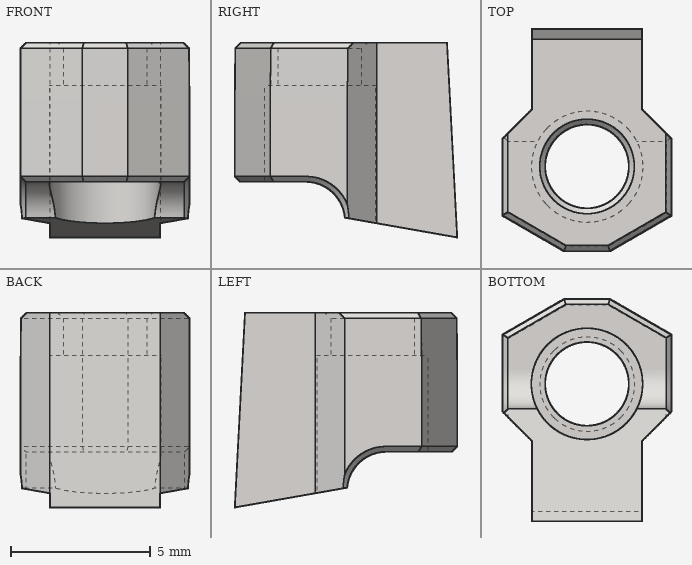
import cadquery as cq
import math

half_width = 3.04
front_distance = 3.06
slant_angle = 30.0
front_height = 5.0
full_height = 7.0
chamfer = 0.2

tab_half_width = 1.98
shoulder_rear = 2.05
shoulder_front = shoulder_rear - (half_width - tab_half_width)
tab_tip = 8.0 - front_distance
back_lean = 3.0
floor_slope = 10.0

draft_depth = 2.0
draft_angle = 0.5

step_radius = 1.4
step_center_y = -0.5
step_center_z = -front_height - step_radius

bore_diameter = 3.0
bore_radius = bore_diameter / 2
counterbore_radius = 2.0
counterbore_roof = -1.52

margin = 4.8


def make_blank():
    """Plan outline cut to the side profile of the leaning back and sloping floor."""
    slant = math.radians(slant_angle)
    corner_x = front_distance * (1 - math.cos(slant)) / math.sin(slant)
    corner_y = -(front_distance - half_width * math.sin(slant)) / math.cos(slant)
    right_edge = [
        (corner_x, -front_distance),
        (half_width, corner_y),
        (half_width, shoulder_front),
        (tab_half_width, shoulder_rear),
        (tab_half_width, tab_tip),
    ]
    left_edge = [(-x, y) for x, y in reversed(right_edge)]
    plan = cq.Workplane("XY").polyline(right_edge + left_edge).close().extrude(-full_height)

    back_top = tab_tip - full_height * math.tan(math.radians(back_lean))
    floor_rise = (tab_tip + front_distance) * math.tan(math.radians(floor_slope))
    side = (
        cq.Workplane("YZ")
        .polyline([
            (-front_distance, 0),
            (back_top, 0),
            (tab_tip, -full_height),
            (-front_distance, floor_rise - full_height),
        ])
        .close()
        .extrude(half_width, both=True)
    )
    return plan.intersect(side)


def step_tool(start_x):
    """Profile of the space under the front block, on a plane at start_x."""
    arc_middle = step_radius * math.sqrt(0.5)
    wall_y = step_center_y + step_radius
    return (
        cq.Workplane("YZ", origin=(start_x, 0, 0))
        .moveTo(-front_distance - margin, -front_height)
        .lineTo(step_center_y, -front_height)
        .threePointArc(
            (step_center_y + arc_middle, step_center_z + arc_middle),
            (wall_y, step_center_z),
        )
        .lineTo(wall_y, -full_height - margin)
        .lineTo(-front_distance - margin, -full_height - margin)
        .close()
    )


def edge_tool(face_angle, distance, draft, lower_chamfer):
    """Material to remove outside one flat face, turned about Z from the front."""
    inset = draft_depth * math.tan(math.radians(draft))
    drafted = distance - inset
    points = [
        (-distance - margin, 0),
        (-drafted + chamfer, 0),
        (-drafted, -chamfer),
        (-distance, -draft_depth),
    ]
    if lower_chamfer:
        points += [
            (-distance, chamfer - front_height),
            (-distance + chamfer, -front_height),
            (-distance - margin, -front_height),
        ]
    else:
        points += [(-distance - margin, -draft_depth)]
    return (
        cq.Workplane("YZ")
        .polyline(points)
        .close()
        .extrude(2 * margin, both=True)
        .rotate((0, 0, 0), (0, 0, 1), face_angle)
    )


body = make_blank()

body = body.cut(step_tool(0).extrude(half_width, both=True))
side_chamfer = step_tool(half_width - chamfer).extrude(chamfer, taper=-45)
body = body.cut(side_chamfer).cut(side_chamfer.mirror("YZ"))

for angle in (-slant_angle, 0, slant_angle):
    body = body.cut(edge_tool(angle, front_distance, draft_angle, True))

body = body.cut(edge_tool(-90, half_width, 0, False))
body = body.cut(edge_tool(90, half_width, draft_angle, False))

bore_profile = [
    (0, 0),
    (bore_radius + chamfer, 0),
    (bore_radius, -chamfer),
    (bore_radius, counterbore_roof),
    (counterbore_radius, counterbore_roof),
    (counterbore_radius, -full_height),
    (0, -full_height),
]
bore = cq.Workplane("XZ").polyline(bore_profile).close().revolve(360, (0, 0), (0, 1))

result = body.cut(bore)